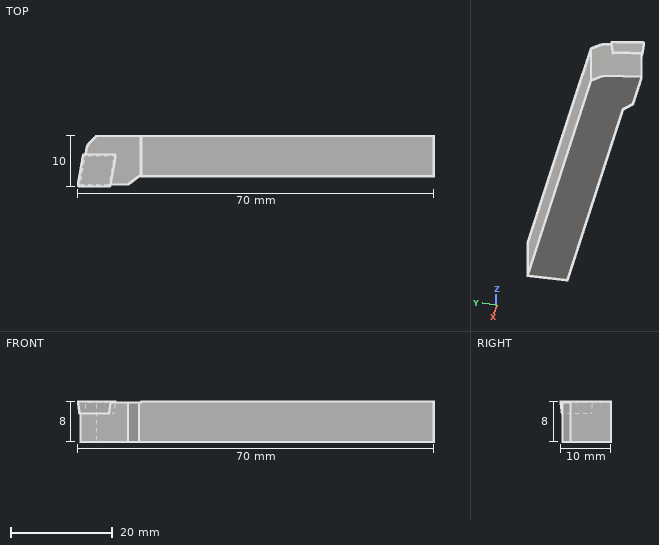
import cadquery as cq
import math

overall_length = 70.0
overall_width = 10.0
height = 8.0

nose_angle = math.radians(80)
inscribed_diameter = 6.35
insert_thickness = 2.38
nose_radius = 0.4
clearance_angle = 7.0

shank_width = 8.0
shank_front = overall_width - shank_width
head_drop = 0.2
head_step_start = 12.35
head_step_end = head_step_start + head_drop
head_front = 0.4
heel_start = 9.85
heel_end = 12.0

side_face_foot = 0.45
back_chamfer_start = 3.7
back_blend_radius = 2.0
head_tip_radius = 0.3

insert_top = height
head_top = height - head_drop


def make_insert():
    side = inscribed_diameter / math.sin(nose_angle)
    lean = side * math.cos(nose_angle)
    sharp_corner = nose_radius - nose_radius / math.tan(nose_angle / 2)
    rhombus = cq.Sketch().polygon(
        [(0, 0), (side, 0), (side + lean, inscribed_diameter), (lean, inscribed_diameter), (0, 0)]
    )
    return (
        cq.Workplane("XY", origin=(sharp_corner, 0, insert_top))
        .placeSketch(rhombus.vertices().fillet(nose_radius))
        .extrude(-insert_thickness, taper=clearance_angle)
    )


def make_holder_blank():
    side_slope = 1 / math.tan(nose_angle)
    chamfer_offset = overall_width - back_chamfer_start
    corner_x = (side_face_foot + side_slope * (chamfer_offset - head_front)) / (1 - side_slope)
    corner_y = corner_x + chamfer_offset
    outline = [
        (side_face_foot, head_front),
        (heel_start, head_front),
        (heel_end, shank_front),
        (overall_length, shank_front),
        (overall_length, overall_width),
        (back_chamfer_start, overall_width),
        (corner_x, corner_y),
    ]
    blank = cq.Workplane("XY").polyline(outline).close().extrude(height)
    blank = blank.edges(cq.NearestToPointSelector((corner_x, corner_y, height / 2))).fillet(back_blend_radius)
    tip = cq.NearestToPointSelector((side_face_foot, head_front, height / 2))
    return blank.edges(tip).fillet(head_tip_radius)


def make_head_step():
    return (
        cq.Workplane("XZ")
        .polyline([(0, height), (0, head_top), (head_step_start, head_top), (head_step_end, height)])
        .close()
        .extrude(-overall_width)
    )


insert = make_insert()
holder = make_holder_blank().cut(make_head_step()).cut(insert)
result = cq.Compound.makeCompound([holder.val(), insert.val()])